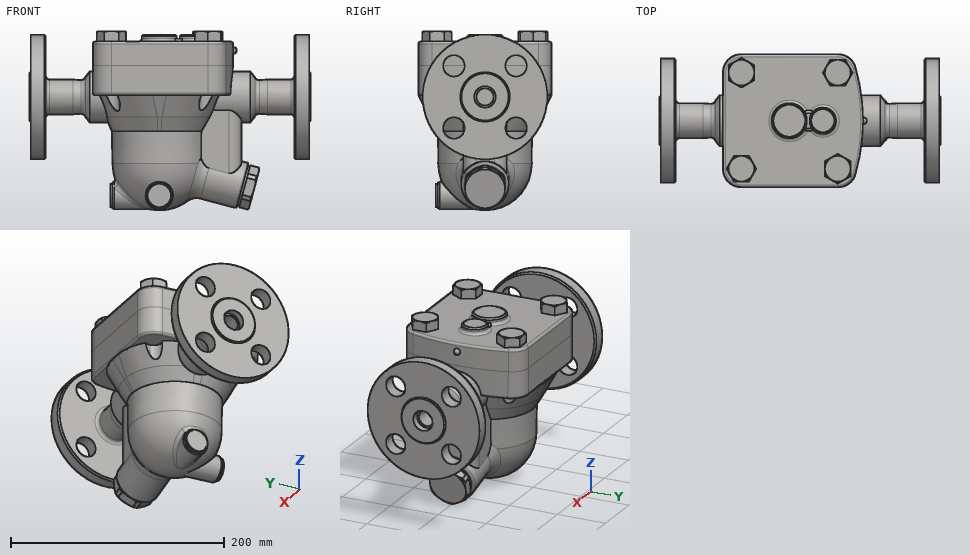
import cadquery as cq
import math


overall_length = 264.0
raised_face_height = 1.3
raised_face_radius = 44.0 / 2
raised_face_base_radius = 46.5 / 2
flange_radius = 117.0 / 2
flange_thickness = 14.3
flange_chamfer = 1.5
flange_fillet = 3.5
pipe_radius = 33.0 / 2
neck_radius = 32.0 / 2
neck_taper_outer = 91.0
neck_taper_inner = 83.7
port_cone_radius = 38.0 / 2
port_cone_outer = 79.2
port_radius = 48.0 / 2
port_half_length = 75.2
flange_bolt_circle = 82.5
flange_hole_diameter = 20.0
flange_hole_count = 4
socket_diameter = 20.0
socket_depth = 8.0
bore_diameter = 16.0
bore_depth = 26.5

bolt_left_x = -55.0
bolt_right_x = 35.5
cover_width = 125.0
corner_radius = 17.5
bolt_y = cover_width / 2 - corner_radius
cover_nose_x = 59.1
body_nose_x = 58.0
body_bottom_z = 1.5
parting_z = 29.5
cover_top_z = 52.0
cover_edge_radius = 2.5
bolt_head_across_flats = 24.0
bolt_head_height = 9.8
head_chamfer_angle = 30.0
under_bolt_diameter = 16.0
under_bolt_depth = 17.2
pin_radius = 3.2
pin_tip_radius = 3.0
pin_reach = 62.5
pin_z = 43.5

pad_height = 6.3
pad_chamfer = 1.5
large_pad_radius = 33.0 / 2
large_pad_foot = 3.0
small_pad_x = 21.5
small_pad_radius = 12.5
small_pad_foot = 3.0
web_height = 2.6
web_top_width = 14.3
web_base_width = 19.3

housing_x = -10.0
dome_radius = 44.0
dome_z = -62.3
housing_top_z = -32.2
housing_top_radius = 44.5
shoulder_mid_z = -18.7
shoulder_mid_size = (100.3, 104.5)
shoulder_mid_corner = 48.0
shoulder_top_size = (115.0, cover_width)
shoulder_top_corner = 51.2

drain_z = -92.5
drain_reach = 46.2
drain_boss_length = 42.2
drain_boss_radius = 26.0 / 2
drain_step_radius = 24.0 / 2
drain_plug_radius = 22.0 / 2
drain_step_position = 44.0
drain_root_fillet = 4.8

strainer_angle = 15.0
strainer_radius = 44.0 / 2
strainer_length = 80.8
strainer_edge_radius = 1.5
strainer_root_fillet = 14.3
strainer_gasket_radius = 38.0 / 2
cap_start = 83.0
cap_thickness = 9.2
cap_across_flats = 37.5
cap_diameter = 41.0
rib_end_x = 67.0
rib_width = 41.2
rib_corner_radius = 12.1


def across_corners(across_flats):
    return across_flats / math.cos(math.radians(30))


def hex_head(across_flats, outer_diameter, height):
    """Hexagonal head on z = 0, corners along +/-X, turned round and chamfered at the top."""
    outer_radius = outer_diameter / 2
    top_radius = across_flats / 2
    corner_drop = (outer_radius - top_radius) * math.tan(math.radians(head_chamfer_angle))
    prism = cq.Workplane("XY").polygon(6, across_corners(across_flats)).extrude(height)
    turned_blank = (
        cq.Workplane("XZ")
        .polyline([
            (0, 0),
            (outer_radius, 0),
            (outer_radius, height - corner_drop),
            (top_radius, height),
            (0, height),
        ])
        .close()
        .revolve(360, (0, 0), (0, 1))
    )
    return prism.intersect(turned_blank)


def pipe_end():
    """Flange, pipe and port on the +X side, revolved about the X axis."""
    face_x = overall_length / 2
    front_x = face_x - raised_face_height
    back_x = front_x - flange_thickness
    outside = (
        cq.Workplane("XY")
        .moveTo(0, 0)
        .lineTo(face_x, 0)
        .lineTo(face_x, raised_face_radius)
        .lineTo(front_x, raised_face_base_radius)
        .lineTo(front_x, flange_radius)
        .lineTo(back_x + flange_chamfer, flange_radius)
        .lineTo(back_x, flange_radius - flange_chamfer)
        .lineTo(back_x, pipe_radius + flange_fillet)
        .radiusArc((back_x - flange_fillet, pipe_radius), flange_fillet)
        .lineTo(neck_taper_outer, pipe_radius)
        .lineTo(neck_taper_inner, neck_radius)
        .tangentArcPoint((port_cone_outer, port_cone_radius), relative=False)
        .lineTo(port_half_length, port_radius)
        .lineTo(0, port_radius)
        .close()
        .revolve(360, (0, 0), (1, 0))
    )
    face = cq.Workplane("YZ", origin=(face_x, 0, 0))
    bolt_holes = (
        face.polarArray(flange_bolt_circle / 2, 45, 360, flange_hole_count)
        .circle(flange_hole_diameter / 2)
        .extrude(-raised_face_height - flange_thickness)
    )
    socket = face.circle(socket_diameter / 2).extrude(-socket_depth)
    bore = face.circle(bore_diameter / 2).extrude(-bore_depth)
    return outside.cut(bolt_holes).cut(socket).cut(bore)


def cover_outline(z, nose_x):
    """Square outline with round corners about the bolts and a bowed +X side."""
    left_x = bolt_left_x - corner_radius
    side_y = cover_width / 2
    inner_nose = nose_x - corner_radius
    bow_center = (bolt_right_x + inner_nose - bolt_y**2 / (inner_nose - bolt_right_x)) / 2
    bow_angle = math.atan2(bolt_y, bolt_right_x - bow_center)
    tangent_x = bolt_right_x + corner_radius * math.cos(bow_angle)
    tangent_y = bolt_y + corner_radius * math.sin(bow_angle)
    return (
        cq.Workplane("XY", origin=(0, 0, z))
        .moveTo(bolt_left_x, -side_y)
        .lineTo(bolt_right_x, -side_y)
        .radiusArc((tangent_x, -tangent_y), -corner_radius)
        .threePointArc((nose_x, 0), (tangent_x, tangent_y))
        .radiusArc((bolt_right_x, side_y), -corner_radius)
        .lineTo(bolt_left_x, side_y)
        .radiusArc((left_x, bolt_y), -corner_radius)
        .lineTo(left_x, -bolt_y)
        .radiusArc((bolt_left_x, -side_y), -corner_radius)
        .close()
    )


def cover():
    plate = cover_outline(parting_z, cover_nose_x).extrude(cover_top_z - parting_z)
    plate = plate.faces(">Z").edges().fillet(cover_edge_radius)
    pin = (
        cq.Workplane("YZ", origin=(0, 0, pin_z))
        .circle(pin_radius)
        .extrude(pin_reach)
        .faces(">X")
        .edges()
        .fillet(pin_tip_radius)
    )
    return plate.union(pin)


def body_flange():
    """Lower half of the bolted joint, its bowed side drafted inwards."""
    lower = cover_outline(body_bottom_z, body_nose_x).val()
    upper = cover_outline(parting_z, cover_nose_x).val()
    block = cq.Workplane(cq.Solid.makeLoft([lower, upper], True))
    return block.faces("<Z").edges().fillet(cover_edge_radius)


def pad(x, radius, foot):
    """Round pad on the cover with a hollow-rounded foot and chamfered rim."""
    return (
        cq.Workplane("XZ", origin=(x, 0, cover_top_z))
        .moveTo(0, 0)
        .lineTo(radius + foot, 0)
        .radiusArc((radius, foot), foot)
        .lineTo(radius, pad_height - pad_chamfer)
        .lineTo(radius - pad_chamfer, pad_height)
        .lineTo(0, pad_height)
        .close()
        .revolve(360, (0, 0), (0, 1))
    )


def cover_pads():
    web = (
        cq.Workplane("YZ", origin=(housing_x, 0, cover_top_z))
        .polyline([
            (-web_base_width / 2, 0),
            (web_base_width / 2, 0),
            (web_top_width / 2, web_height),
            (-web_top_width / 2, web_height),
        ])
        .close()
        .extrude(small_pad_x - housing_x)
    )
    large_pad = pad(housing_x, large_pad_radius, large_pad_foot)
    small_pad = pad(small_pad_x, small_pad_radius, small_pad_foot)
    return web.union(large_pad).union(small_pad)


def rounded_section(size, corner, z):
    """Round-cornered rectangle centred on the housing axis at height z."""
    outline = cq.Sketch().rect(*size).vertices().fillet(corner)
    return outline.moved(cq.Location(cq.Vector(housing_x, 0, z)))


def shoulder():
    """Flared part that grows from the round housing to the squarish body flange."""
    housing_end = cq.Sketch().circle(housing_top_radius)
    housing_end = housing_end.moved(cq.Location(cq.Vector(housing_x, 0, housing_top_z)))
    middle = rounded_section(shoulder_mid_size, shoulder_mid_corner, shoulder_mid_z)
    top = rounded_section(shoulder_top_size, shoulder_top_corner, body_bottom_z)
    lower_flare = cq.Workplane("XY").placeSketch(housing_end, middle).loft()
    upper_flare = cq.Workplane("XY").placeSketch(middle, top).loft()
    bolt_clearance = (
        cq.Workplane("XY", origin=(0, 0, body_bottom_z))
        .pushPoints([(x, y) for x in (bolt_left_x, bolt_right_x) for y in (-bolt_y, bolt_y)])
        .circle(under_bolt_diameter / 2)
        .extrude(-under_bolt_depth)
    )
    return lower_flare.union(upper_flare, clean=False).cut(bolt_clearance, clean=False)


def domed_housing():
    """Slightly tapered round housing that ends in a hemispherical dome."""
    return (
        cq.Workplane("XZ", origin=(housing_x, 0, 0))
        .moveTo(0, housing_top_z)
        .lineTo(housing_top_radius, housing_top_z)
        .lineTo(dome_radius, dome_z)
        .radiusArc((0, dome_z - dome_radius), dome_radius)
        .close()
        .revolve(360, (0, 0), (0, 1))
    )


def drain_boss(direction_angle):
    """Horizontal boss with a stepped plug; the angle is measured from +X."""
    boss = (
        cq.Workplane("XZ")
        .polyline([
            (0, 0),
            (0, drain_boss_radius),
            (drain_boss_length, drain_boss_radius),
            (drain_step_position, drain_step_radius),
            (drain_step_position, drain_plug_radius),
            (drain_reach, drain_plug_radius),
            (drain_reach, 0),
        ])
        .close()
        .revolve(360, (0, 0), (1, 0))
    )
    return boss.rotate((0, 0, 0), (0, 0, 1), direction_angle).translate((housing_x, 0, drain_z))


def strainer():
    """Sloping strainer branch, radial to the dome, closed by a hexagonal cap."""
    fillet_center_r = strainer_radius + strainer_root_fillet
    fillet_center_x = math.sqrt((dome_radius + strainer_root_fillet)**2 - fillet_center_r**2)
    on_dome = dome_radius / (dome_radius + strainer_root_fillet)
    branch = (
        cq.Workplane("XZ")
        .moveTo(0, 0)
        .lineTo(fillet_center_x * on_dome, fillet_center_r * on_dome)
        .radiusArc((fillet_center_x, strainer_radius), -strainer_root_fillet)
        .lineTo(strainer_length - strainer_edge_radius, strainer_radius)
        .radiusArc((strainer_length, strainer_radius - strainer_edge_radius), strainer_edge_radius)
        .lineTo(strainer_length, strainer_gasket_radius)
        .lineTo(cap_start, strainer_gasket_radius)
        .lineTo(cap_start, 0)
        .close()
        .revolve(360, (0, 0), (1, 0))
    )
    cap = (
        hex_head(cap_across_flats, cap_diameter, cap_thickness)
        .rotate((0, 0, 0), (0, 1, 0), 90)
        .translate((cap_start, 0, 0))
    )
    return (
        branch.union(cap)
        .rotate((0, 0, 0), (0, 1, 0), strainer_angle)
        .translate((housing_x, 0, dome_z))
    )


def passage_rib():
    """Upright rib joining the outlet port to the strainer axis."""
    rib_end_z = dome_z - (rib_end_x - housing_x) * math.tan(math.radians(strainer_angle))
    return (
        cq.Workplane("XZ")
        .polyline([(housing_x, 0), (rib_end_x, 0), (rib_end_x, rib_end_z), (housing_x, dome_z)])
        .close()
        .extrude(rib_width / 2, both=True)
        .edges("|Z and >X")
        .fillet(rib_corner_radius)
    )


def bolt_heads():
    """Four hexagonal heads, neighbouring heads turned a quarter turn apart."""
    heads = cq.Workplane("XY")
    head_diameter = across_corners(bolt_head_across_flats)
    for x in (bolt_left_x, bolt_right_x):
        for y in (-bolt_y, bolt_y):
            same_diagonal = (x > 0) == (y > 0)
            turn = 0 if same_diagonal else 90
            head = hex_head(bolt_head_across_flats, head_diameter, bolt_head_height)
            heads = heads.add(head.rotate((0, 0, 0), (0, 0, 1), turn).translate((x, y, cover_top_z)))
    return heads.combine()


def housing_with_left_drain():
    """Housing joined to the drain boss on its -X side by a root fillet."""
    joined = domed_housing().union(drain_boss(180))
    return joined.edges("%BSPLINE").fillet(drain_root_fillet)


outlet_end = pipe_end()
parts = [
    shoulder(),
    drain_boss(-90),
    strainer(),
    passage_rib(),
    body_flange(),
    cover(),
    cover_pads(),
    bolt_heads(),
    outlet_end,
    outlet_end.mirror("YZ"),
]
result = housing_with_left_drain()
for part in parts:
    result = result.union(part, clean=False)